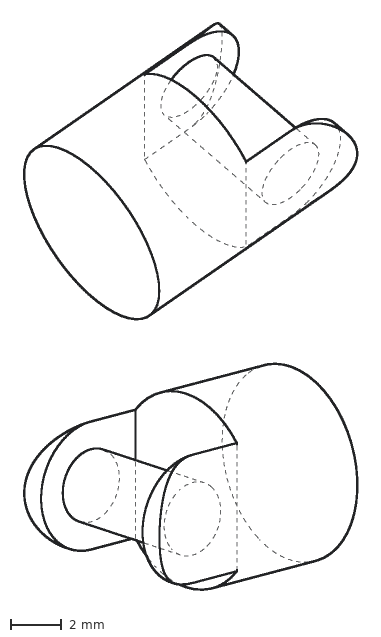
import cadquery as cq
import math

diameter = 8.0
length = 10.5
base_length = 5.5
fork_gap = 6.0
pin_diameter = 3.0

radius = diameter / 2
cheek_thickness = (diameter - fork_gap) / 2
tip_radius = math.sqrt(radius**2 - (fork_gap / 2) ** 2)
pin_y = length - tip_radius
pin_length = fork_gap + cheek_thickness


def y_cylinder(size, depth):
    """Cylinder along +Y starting at Y = 0."""
    return cq.Workplane("XZ").circle(size / 2).extrude(-depth)


def fork_envelope():
    """Round-ended slab across X that bounds the cheeks beyond the base."""
    return (
        cq.Workplane("YZ")
        .moveTo(base_length, -tip_radius)
        .lineTo(pin_y, -tip_radius)
        .threePointArc((length, 0), (pin_y, tip_radius))
        .lineTo(base_length, tip_radius)
        .close()
        .extrude(radius, both=True)
    )


def cheeks():
    """Two cylinder segments with flat inner faces and round tips."""
    gap = cq.Workplane("XY").box(fork_gap, 2 * length, diameter)
    return y_cylinder(diameter, length).intersect(fork_envelope()).cut(gap)


def pin():
    """Cross pin joining the cheeks, concentric with their tips."""
    return (
        cq.Workplane("YZ")
        .center(pin_y, 0)
        .circle(pin_diameter / 2)
        .extrude(pin_length / 2, both=True)
    )


base = y_cylinder(diameter, base_length)
result = base.union(cheeks()).union(pin())